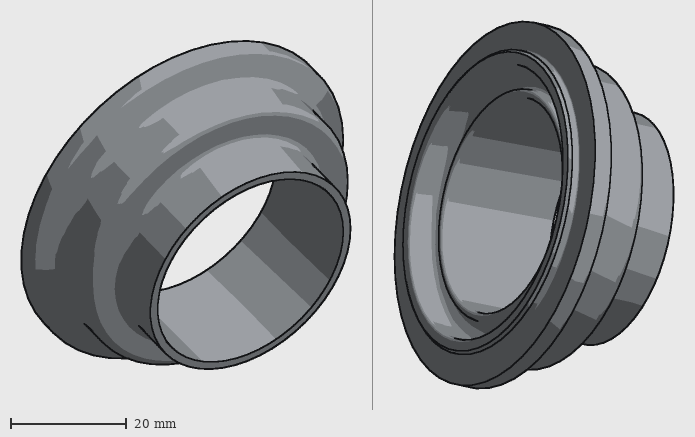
import cadquery as cq
import math

pilot_chamfer = 0.6
flange_front = 1.9
hub_rear = 15.6
total_length = 25.5

flange_radius = 32.0
hub_radius = 54.0 / 2
pilot_radius = 53.6 / 2
spigot_radius = 41.0 / 2
bore_radius = 38.0 / 2
pilot_face_radius = pilot_radius - 0.5

rim_start = 4.8
rim_end = 5.6
rim_drop = 0.6
cone_end = 6.7
cone_end_radius = 28.15
hub_start = 8.65
cone_angle = math.atan2(cone_end - rim_end, flange_radius - rim_drop - cone_end_radius)
cone_tangent = (math.sin(cone_angle), -math.cos(cone_angle))

pilot_root_fillet = 0.3
hub_fillet = 1.7
spigot_fillet = 1.55

groove_mouth_fillet = 0.65
groove_radius = 24.25
groove_floor = 4.85
groove_floor_radius = 22.2
lip_outer_radius = spigot_radius
lip_front = 3.25
lip_fillet = 0.7
lip_base = lip_front + lip_fillet

QUARTER_MID = 1 - math.sqrt(0.5)


def quarter_round(outline, corner, from_dir, to_dir, radius):
    """Add a quarter arc across a corner, given unit directions from it to each arc end."""
    mid = tuple(c + QUARTER_MID * radius * (a + b) for c, a, b in zip(corner, from_dir, to_dir))
    end = tuple(c + radius * b for c, b in zip(corner, to_dir))
    return outline.threePointArc(mid, end)


REAR, FRONT = (1, 0), (-1, 0)
OUT, IN = (0, 1), (0, -1)

section = (
    cq.Workplane("XY")
    .moveTo(0, groove_radius + groove_mouth_fillet)
    .lineTo(0, pilot_face_radius)
    .lineTo(pilot_chamfer, pilot_radius)
    .lineTo(flange_front - pilot_root_fillet, pilot_radius)
)
section = quarter_round(section, (flange_front, pilot_radius), FRONT, OUT, pilot_root_fillet)
section = (
    section.lineTo(flange_front, flange_radius)
    .lineTo(rim_start, flange_radius)
    .spline([(rim_end, flange_radius - rim_drop)], tangents=[REAR, cone_tangent], includeCurrent=True)
    .lineTo(cone_end, cone_end_radius)
    .spline([(hub_start, hub_radius)], tangents=[cone_tangent, REAR], includeCurrent=True)
    .lineTo(hub_rear - hub_fillet, hub_radius)
)
section = quarter_round(section, (hub_rear, hub_radius), FRONT, IN, hub_fillet)
section = section.lineTo(hub_rear, spigot_radius + spigot_fillet)
section = quarter_round(section, (hub_rear, spigot_radius), OUT, REAR, spigot_fillet)
section = (
    section.lineTo(total_length, spigot_radius)
    .lineTo(total_length, bore_radius)
    .lineTo(lip_base, bore_radius)
)
section = quarter_round(section, (lip_front, bore_radius), REAR, OUT, lip_fillet)
section = section.lineTo(lip_front, lip_outer_radius - lip_fillet)
section = quarter_round(section, (lip_front, lip_outer_radius), IN, REAR, lip_fillet)
section = section.spline(
    [(groove_floor, groove_floor_radius), (groove_mouth_fillet, groove_radius)],
    tangents=[REAR, FRONT],
    includeCurrent=True,
)
section = quarter_round(section, (0, groove_radius), REAR, OUT, groove_mouth_fillet)

result = section.close().revolve(360, (0, 0, 0), (1, 0, 0))